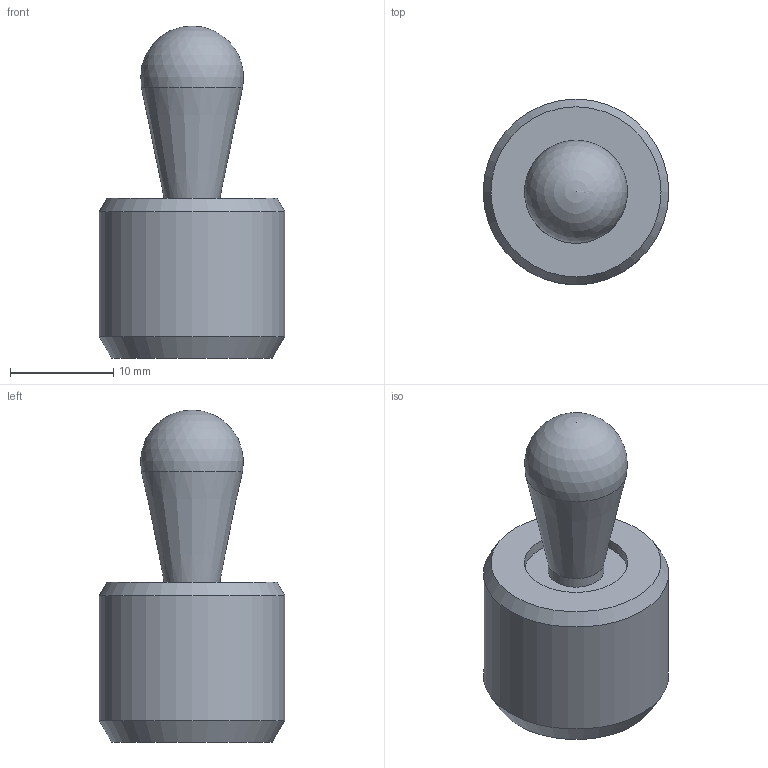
import cadquery as cq
import math

housing_diameter = 18.0
housing_height = 15.5
bevel_angle = math.radians(30)
top_bevel_width = 0.75
bottom_bevel_width = 1.2
recess_diameter = 10.0
recess_depth = 1.0

overall_height = 32.2
ball_diameter = 10.0
neck_diameter = 5.4
neck_height = 1.0

recess_floor_z = housing_height - recess_depth


def bevel_height(width):
    """Height along the axis of a bevel with the given radial width."""
    return width / math.tan(bevel_angle)


def make_housing():
    radius = housing_diameter / 2
    outline = (
        cq.Workplane("XZ")
        .lineTo(radius - bottom_bevel_width, 0)
        .lineTo(radius, bevel_height(bottom_bevel_width))
        .lineTo(radius, housing_height - bevel_height(top_bevel_width))
        .lineTo(radius - top_bevel_width, housing_height)
        .lineTo(recess_diameter / 2, housing_height)
        .lineTo(recess_diameter / 2, recess_floor_z)
        .lineTo(0, recess_floor_z)
        .close()
    )
    return outline.revolve(360, (0, 0), (0, 1))


def make_pin():
    ball_radius = ball_diameter / 2
    neck_radius = neck_diameter / 2
    ball_center_z = overall_height - ball_radius
    cone_start_z = recess_floor_z + neck_height

    drop = ball_center_z - cone_start_z
    edge_distance = math.hypot(neck_radius, drop)
    edge_angle = math.atan2(drop, neck_radius)
    tangent_angle = edge_angle - math.acos(ball_radius / edge_distance)
    tangent_radius = ball_radius * math.cos(tangent_angle)
    tangent_z = ball_center_z - ball_radius * math.sin(tangent_angle)

    middle_angle = (math.pi / 2 - tangent_angle) / 2
    middle_radius = ball_radius * math.cos(middle_angle)
    middle_z = ball_center_z + ball_radius * math.sin(middle_angle)

    outline = (
        cq.Workplane("XZ")
        .moveTo(0, recess_floor_z)
        .lineTo(neck_radius, recess_floor_z)
        .lineTo(neck_radius, cone_start_z)
        .lineTo(tangent_radius, tangent_z)
        .threePointArc((middle_radius, middle_z), (0, overall_height))
        .close()
    )
    return outline.revolve(360, (0, 0), (0, 1))


housing = make_housing()
pin = make_pin()

result = cq.Compound.makeCompound([housing.val(), pin.val()])